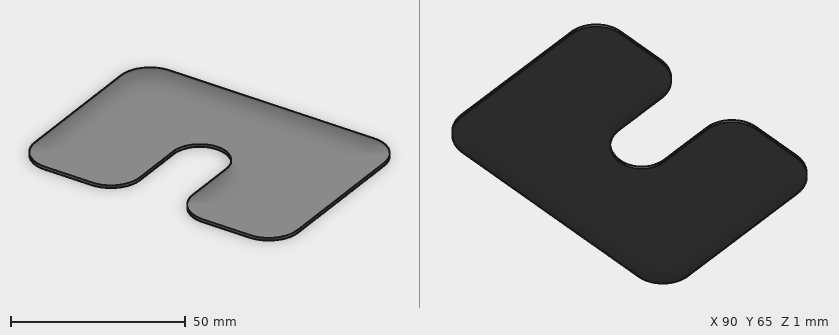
import cadquery as cq

length = 90.0
width = 65.0
thickness = 1.0
corner_radius = 10.0

slot_width = 18.0
slot_depth = 36.45

slot_radius = slot_width / 2
front_y = -width / 2
slot_center_y = front_y + slot_depth - slot_radius


def make_plate():
    """Rectangular blank centred on the origin in X and Y."""
    return cq.Workplane("XY").box(length, width, thickness, centered=(True, True, False))


def make_slot():
    """Cutter for the slot: a straight channel closed by a half circle."""
    return (
        cq.Workplane("XY")
        .moveTo(-slot_radius, front_y)
        .lineTo(-slot_radius, slot_center_y)
        .threePointArc((0, slot_center_y + slot_radius), (slot_radius, slot_center_y))
        .lineTo(slot_radius, front_y)
        .close()
        .extrude(thickness)
    )


slotted_plate = make_plate().cut(make_slot())
corner_edges = slotted_plate.faces("<Y or >Y").edges("|Z")
result = corner_edges.fillet(corner_radius)